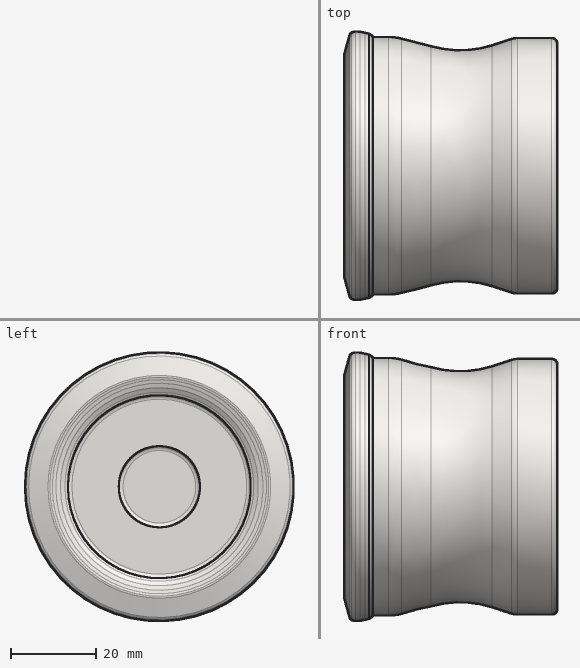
import cadquery as cq
import math

LENGTH = 50.0
CAP_LENGTH = 6.8

RIM_RADIUS = 31.5
LIP_OUTER_RADIUS = 26.1
FRONT_CONE_X = 1.25
FRONT_CONE_RADIUS = 30.65
RIM_FRONT_X = 1.7
RIM_FRONT_RADIUS = 31.2
RIM_FRONT_BULGE = 0.05
RIM_CREST_X = 2.65
RIM_SHOULDER_X = 3.8
RIM_SHOULDER_RADIUS = 31.45
RIM_TAPER_X = 4.9
RIM_TAPER_RADIUS = 31.2
RIM_BACK_X = 5.8
RIM_BACK_RADIUS = 31.0
RIM_HEEL_X = 6.4
RIM_HEEL_RADIUS = 30.65

LIP_INNER_RADIUS = 25.65
LIP_STEP_X = 0.1
LIP_STEP_RADIUS = 25.1
DISH_RIM_X = 0.3
DISH_RIM_RADIUS = 24.3
DISH_CONE_X = 0.6
DISH_CONE_RADIUS = 23.2
DISH_WALL_X = 1.2
DISH_WALL_RADIUS = 22.1
FLOOR_X = 2.3
FLOOR_RADIUS = 20.5
DISH_FOOT_X = 1.6
DISH_FOOT_RADIUS = 21.45
DISH_WALL_BULGE = 0.05

RECESS_RADIUS = 9.5
RECESS_FILLET = 1.0

FRONT_RADIUS = 60.45 / 2
REAR_RADIUS = 60.0 / 2
FRONT_LAND_END = 10.45
FRONT_CONE_START = 13.5
WAIST_START = 20.4
WAIST_LOW_X = 27.1
WAIST_END = 34.6
REAR_CONE_END = 39.2
REAR_LAND_START = 40.6
WAIST_RADIUS = 27.1
WAIST_START_RADIUS = 28.05
WAIST_END_RADIUS = 28.25
SHOULDER_RADIUS = 29.8
REAR_CONE_RADIUS = 29.75
REAR_ROUND = 1.4

AXIS_START = (0, 0, 0)
AXIS_END = (1, 0, 0)


def revolve_about_x(profile):
    """Turn a closed (x, radius) profile around the X axis."""
    return profile.close().revolve(360, AXIS_START, AXIS_END)


def arc_midpoint(start, end, bulge):
    """Point offset from the chord's middle, to the left of its direction."""
    dx = end[0] - start[0]
    dr = end[1] - start[1]
    chord = math.hypot(dx, dr)
    mid_x = (start[0] + end[0]) / 2
    mid_radius = (start[1] + end[1]) / 2
    return (mid_x - bulge * dr / chord, mid_radius + bulge * dx / chord)


def make_cap():
    """Rimmed cap with a dished face and a shallow central recess."""
    recess_x = FLOOR_X + RECESS_FILLET

    recess_bottom = (recess_x, RECESS_RADIUS - RECESS_FILLET)
    recess_edge = (FLOOR_X, RECESS_RADIUS)
    floor_edge = (FLOOR_X, FLOOR_RADIUS)
    dish_foot = (DISH_FOOT_X, DISH_FOOT_RADIUS)
    dish_wall = (DISH_WALL_X, DISH_WALL_RADIUS)
    cone_end = (FRONT_CONE_X, FRONT_CONE_RADIUS)
    rim_front = (RIM_FRONT_X, RIM_FRONT_RADIUS)
    crest = (RIM_CREST_X, RIM_RADIUS)

    profile = (
        cq.Workplane("XY")
        .moveTo(recess_x, 0)
        .lineTo(*recess_bottom)
        .tangentArcPoint(recess_edge, relative=False)
        .lineTo(*floor_edge)
        .tangentArcPoint(dish_foot, relative=False)
        .threePointArc(arc_midpoint(dish_foot, dish_wall, DISH_WALL_BULGE), dish_wall)
        .lineTo(DISH_CONE_X, DISH_CONE_RADIUS)
        .lineTo(DISH_RIM_X, DISH_RIM_RADIUS)
        .lineTo(LIP_STEP_X, LIP_STEP_RADIUS)
        .lineTo(0, LIP_INNER_RADIUS)
        .lineTo(0, LIP_OUTER_RADIUS)
        .lineTo(*cone_end)
        .threePointArc(arc_midpoint(cone_end, rim_front, RIM_FRONT_BULGE), rim_front)
        .threePointArc(arc_midpoint(rim_front, crest, RIM_FRONT_BULGE), crest)
        .lineTo(RIM_SHOULDER_X, RIM_SHOULDER_RADIUS)
        .lineTo(RIM_TAPER_X, RIM_TAPER_RADIUS)
        .lineTo(RIM_BACK_X, RIM_BACK_RADIUS)
        .lineTo(RIM_HEEL_X, RIM_HEEL_RADIUS)
        .lineTo(CAP_LENGTH, FRONT_RADIUS)
        .lineTo(CAP_LENGTH, 0)
    )
    return revolve_about_x(profile)


def make_body():
    """Solid knob body with a smooth waist and a rounded rear edge."""
    waist_low = (WAIST_LOW_X, WAIST_RADIUS)
    profile = (
        cq.Workplane("XY")
        .moveTo(CAP_LENGTH, 0)
        .lineTo(CAP_LENGTH, FRONT_RADIUS)
        .lineTo(FRONT_LAND_END, FRONT_RADIUS)
        .tangentArcPoint((FRONT_CONE_START, SHOULDER_RADIUS), relative=False)
        .lineTo(WAIST_START, WAIST_START_RADIUS)
        .threePointArc(waist_low, (WAIST_END, WAIST_END_RADIUS))
        .lineTo(REAR_CONE_END, REAR_CONE_RADIUS)
        .tangentArcPoint((REAR_LAND_START, REAR_RADIUS), relative=False)
        .lineTo(LENGTH - REAR_ROUND, REAR_RADIUS)
        .tangentArcPoint((LENGTH, REAR_RADIUS - REAR_ROUND), relative=False)
        .lineTo(LENGTH, 0)
    )
    return revolve_about_x(profile)


cap = make_cap()
body = make_body()
result = cq.Compound.makeCompound([cap.val(), body.val()])